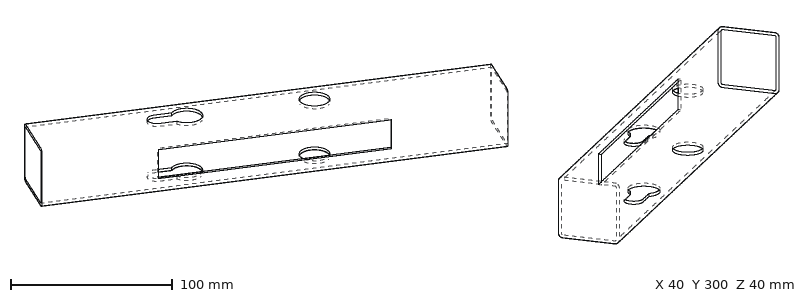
import cadquery as cq

tube_side = 40.0
tube_length = 300.0
wall = 2.0
outer_corner_radius = 3.0
inner_corner_radius = outer_corner_radius - wall

cutout_x = -1.5
handle_hole_y = 31.5
handle_hole_diameter = 19.0
cylinder_y = -50.8
cylinder_diameter = 20.0
cylinder_slot_width = 12.0
cylinder_slot_end_y = -76.0

mortise_length = 150.0
mortise_height = 20.0


def rounded_bar(side, corner_radius):
    """Square bar as long as the tube, with its four long edges rounded."""
    return cq.Workplane("XY").box(side, tube_length, side).edges("|Y").fillet(corner_radius)


def square_tube():
    """Hollow square section, open at both ends."""
    outside = rounded_bar(tube_side, outer_corner_radius)
    bore = rounded_bar(tube_side - 2 * wall, inner_corner_radius)
    return outside.cut(bore)


def round_cutter(y, diameter):
    """Vertical cylinder that passes through both the top and bottom walls."""
    return cq.Workplane("XY").center(cutout_x, y).circle(diameter / 2).extrude(tube_side / 2, both=True)


def lock_cylinder_cutter():
    """Keyhole-shaped profile: a circle with a round-ended slot towards -Y."""
    slot_end_center_y = cylinder_slot_end_y + cylinder_slot_width / 2
    slot_length = cylinder_y - slot_end_center_y
    slot = (
        cq.Workplane("XY")
        .center(cutout_x, slot_end_center_y + slot_length / 2)
        .rect(cylinder_slot_width, slot_length)
        .extrude(tube_side / 2, both=True)
    )
    slot_end = round_cutter(slot_end_center_y, cylinder_slot_width)
    return round_cutter(cylinder_y, cylinder_diameter).union(slot).union(slot_end)


def mortise_cutter():
    """Rectangular block that spans the thickness of the +X wall."""
    wall_center_x = (tube_side - wall) / 2
    return cq.Workplane("XY").box(wall, mortise_length, mortise_height).translate((wall_center_x, 0, 0))


result = (
    square_tube()
    .cut(round_cutter(handle_hole_y, handle_hole_diameter))
    .cut(lock_cylinder_cutter())
    .cut(mortise_cutter())
)